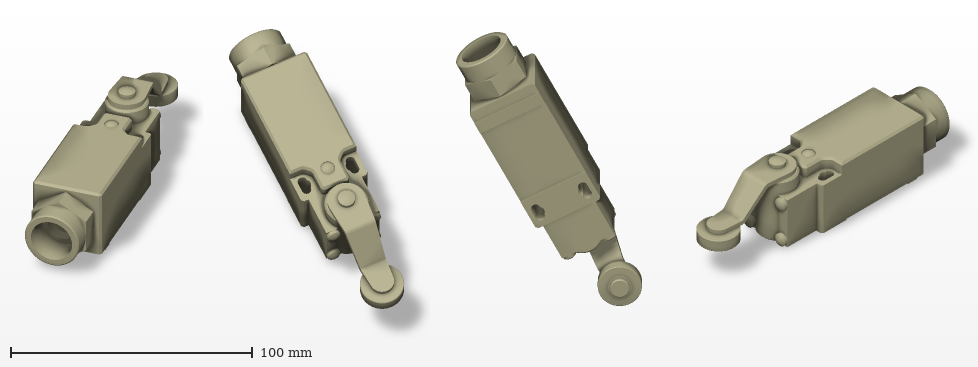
import cadquery as cq
import math


HOUSING_WIDTH = 30.3
HOUSING_LENGTH = 60.2
HOUSING_TOP = 30.0
EDGE_CHAMFER = 1.0
PAD_HEIGHT = 0.5
REAR_PAD_START = 46.0
FRONT_PAD_START = 4.9
FRONT_PAD_LENGTH = 5.3
EAR_TOP = 24.4
EAR_START = 48.5
COVER_TONGUE_WIDTH = 12.6
COVER_TONGUE_END = 61.1
COVER_TONGUE_CORNER = 51.4
FLARE_RADIUS = 2.6

SLOT_X = 11.0
SLOT_WIDTH = 4.0
SLOT_LENGTH = 8.0
ROUND_HOLE_X = 10.6
ROUND_HOLE_DIAMETER = 4.9
MOUNTING_HOLE_Y = 53.7

COVER_RIVET_RADIUS = 3.0
COVER_RIVET_Y = 53.0
COVER_RIVET_RECESS = 0.4
COVER_RIVET_DOME = 1.3

HEAD_WIDTH = 24.4
HEAD_START = 63.7
HEAD_END = 77.4
KEY_START = 61.2
KEY_HEIGHT = 12.0
HEAD_MIDDLE_Z = (PAD_HEIGHT + EAR_TOP) / 2

PIVOT_Y = 71.2
TURRET_RADIUS = 9.1
TURRET_TOP = 31.1
TURRET_CHAMFER = 0.8
SPACER_RADIUS = 7.4

SCREW_RADIUS = 2.9
SCREW_RIM = 1.5
SCREW_DOME = 1.2

LEVER_THICKNESS = 2.0
LEVER_HIGH_BOTTOM = 31.5
LEVER_LOW_BOTTOM = 18.8
LEVER_PIVOT_RADIUS = 8.0
LEVER_TIP_RADIUS = 5.0
LEVER_BEND_Y = 84.4
BEND_INNER_RADIUS = 1.3
PIN_RADIUS = 3.6
PIN_DOME = 0.8
LEVER_TOP = LEVER_HIGH_BOTTOM + LEVER_THICKNESS
PIN_RIM_TOP = 35.4

ROLLER_RADIUS = 9.1
ROLLER_Y = 105.5
ROLLER_BOTTOM = 12.9
ROLLER_TOP = 18.4
ROLLER_CHAMFER = 0.3
WASHER_RADIUS = 4.9
WASHER_THICKNESS = 0.5
RIVET_RADIUS = 4.1
RIVET_BOTTOM = 10.7
RIVET_CHAMFER = 0.4

GLAND_Z = 14.6
NECK_DIAMETER = 23.7
NECK_LENGTH = 0.9
HEX_FLATS = 24.1
HEX_LENGTH = 8.5
TUBE_DIAMETER = 24.0
GLAND_LENGTH = 17.9
TUBE_CHAMFER = 0.5
GLAND_BORE_DIAMETER = 18.2
GLAND_BORE_DEPTH = 13.2
CABLE_HOLE_DIAMETER = 13.2


def block(x_size, y_start, y_end, z_start, z_end):
    """Box centred on X = 0 between the given Y and Z limits."""
    size = (x_size, y_end - y_start, z_end - z_start)
    box = cq.Workplane("XY").box(*size, centered=(True, False, False))
    return box.translate((0, y_start, z_start))


def disc(radius, y, z_start, z_end):
    """Upright cylinder on X = 0."""
    return cq.Workplane("XY", origin=(0, y, z_start)).circle(radius).extrude(z_end - z_start)


def domed_button(radius, rim, dome):
    """Cylinder with a spherical cap, standing on the origin along +Z."""
    sphere_radius = (radius**2 + dome**2) / (2 * dome)
    half_angle = math.asin(radius / sphere_radius) / 2
    mid_point = (sphere_radius * math.sin(half_angle),
                 rim + dome - sphere_radius * (1 - math.cos(half_angle)))
    profile = (
        cq.Workplane("XZ")
        .lineTo(radius, 0)
        .lineTo(radius, rim)
        .threePointArc(mid_point, (0, rim + dome))
        .close()
    )
    return profile.revolve(360, (0, 0, 0), (0, 1, 0))


def head_key():
    """Cross-shaped key that locks the head into the housing neck."""
    side_arms = block(HEAD_WIDTH, KEY_START, HEAD_START,
                      HEAD_MIDDLE_Z - KEY_HEIGHT / 2, HEAD_MIDDLE_Z + KEY_HEIGHT / 2)
    upright = block(COVER_TONGUE_WIDTH, KEY_START, HEAD_START, PAD_HEIGHT, EAR_TOP)
    return side_arms.union(upright)


def mounting_hole(side):
    slot = (
        cq.Workplane("XY").center(side * SLOT_X, MOUNTING_HOLE_Y)
        .slot2D(SLOT_LENGTH, SLOT_WIDTH, 90).extrude(HOUSING_TOP)
    )
    round_hole = (
        cq.Workplane("XY").center(side * ROUND_HOLE_X, MOUNTING_HOLE_Y)
        .circle(ROUND_HOLE_DIAMETER / 2).extrude(HOUSING_TOP)
    )
    return slot.union(round_hole)


def make_housing():
    half_width = HOUSING_WIDTH / 2
    half_tongue = COVER_TONGUE_WIDTH / 2
    flare_x = half_tongue + COVER_TONGUE_CORNER - EAR_START

    lower = block(HOUSING_WIDTH, 0, HOUSING_LENGTH, PAD_HEIGHT, EAR_TOP)
    pads = block(HOUSING_WIDTH, REAR_PAD_START, HOUSING_LENGTH, 0, PAD_HEIGHT)
    lower = lower.union(pads).edges("|Z and (<Y or >Y)").chamfer(EDGE_CHAMFER)
    front_pad_end = FRONT_PAD_START + FRONT_PAD_LENGTH
    front_pad = block(HOUSING_WIDTH, FRONT_PAD_START, front_pad_end, 0, PAD_HEIGHT)
    neck = block(HEAD_WIDTH, HOUSING_LENGTH, HEAD_START, PAD_HEIGHT, EAR_TOP)

    cover = (
        cq.Workplane("XY", origin=(0, 0, EAR_TOP))
        .moveTo(0, 0)
        .lineTo(half_width, 0)
        .lineTo(half_width, EAR_START)
        .lineTo(flare_x, EAR_START)
        .lineTo(half_tongue, COVER_TONGUE_CORNER)
        .lineTo(half_tongue, COVER_TONGUE_END)
        .lineTo(0, COVER_TONGUE_END)
        .mirrorY()
        .extrude(HOUSING_TOP - EAR_TOP)
        .edges("|Z and (<Y or >Y)").chamfer(EDGE_CHAMFER)
    )
    middle_z = (EAR_TOP + HOUSING_TOP) / 2
    for side in (-1, 1):
        for x, y in ((half_tongue, COVER_TONGUE_CORNER), (flare_x, EAR_START)):
            corner = cq.NearestToPointSelector((side * x, y, middle_z))
            cover = cover.edges(corner).fillet(FLARE_RADIUS)
    cover = cover.faces(">Z").chamfer(EDGE_CHAMFER)

    recess_floor = HOUSING_TOP - COVER_RIVET_RECESS
    recess = disc(COVER_RIVET_RADIUS, COVER_RIVET_Y, recess_floor, HOUSING_TOP)
    rivet = domed_button(COVER_RIVET_RADIUS, recess_floor - EAR_TOP, COVER_RIVET_DOME)
    rivet = rivet.translate((0, COVER_RIVET_Y, EAR_TOP))
    body = lower.union(front_pad).union(neck).union(cover.cut(recess)).union(rivet)
    for side in (-1, 1):
        body = body.cut(mounting_hole(side))
    return body.cut(head_key())


def make_head():
    body = block(HEAD_WIDTH, HEAD_START, HEAD_END, PAD_HEIGHT, EAR_TOP).union(head_key())
    turret = disc(TURRET_RADIUS, PIVOT_Y, PAD_HEIGHT, TURRET_TOP)
    turret = turret.faces("<Z or >Z").chamfer(TURRET_CHAMFER)
    spacer = disc(SPACER_RADIUS, PIVOT_Y, TURRET_TOP, LEVER_HIGH_BOTTOM)
    body = body.union(turret).union(spacer)

    screw = domed_button(SCREW_RADIUS, SCREW_RIM, SCREW_DOME).rotate((0, 0, 0), (1, 0, 0), -90)
    screw_x = HEAD_WIDTH / 2 - SCREW_RADIUS
    screw_z = (EAR_TOP - PAD_HEIGHT) / 2 - SCREW_RADIUS
    for side in (-1, 1):
        for level in (-1, 1):
            place = (side * screw_x, HEAD_END, HEAD_MIDDLE_Z + level * screw_z)
            body = body.union(screw.translate(place))
    return body


def lever_plan():
    """Tall prism with the tapered, round-ended outline of the lever."""
    spacing = ROLLER_Y - PIVOT_Y
    lean = (LEVER_PIVOT_RADIUS - LEVER_TIP_RADIUS) / spacing
    across = math.sqrt(1 - lean**2)

    def tangent_point(radius, y):
        return radius * across, y + radius * lean

    pivot_x, pivot_y = tangent_point(LEVER_PIVOT_RADIUS, PIVOT_Y)
    tip_x, tip_y = tangent_point(LEVER_TIP_RADIUS, ROLLER_Y)
    return (
        cq.Workplane("XY")
        .moveTo(pivot_x, pivot_y)
        .lineTo(tip_x, tip_y)
        .threePointArc((0, ROLLER_Y + LEVER_TIP_RADIUS), (-tip_x, tip_y))
        .lineTo(-pivot_x, pivot_y)
        .threePointArc((0, PIVOT_Y - LEVER_PIVOT_RADIUS), (pivot_x, pivot_y))
        .close()
        .extrude(LEVER_TOP)
    )


def make_lever():
    drop = LEVER_HIGH_BOTTOM - LEVER_LOW_BOTTOM
    miter = LEVER_THICKNESS * math.tan(math.radians(22.5))
    start = PIVOT_Y - LEVER_PIVOT_RADIUS
    end = ROLLER_Y + LEVER_TIP_RADIUS
    upper_bend = LEVER_BEND_Y
    lower_bend = LEVER_BEND_Y + drop
    low_top = LEVER_LOW_BOTTOM + LEVER_THICKNESS
    strip = (
        cq.Workplane("YZ")
        .polyline([
            (start, LEVER_TOP),
            (upper_bend, LEVER_TOP),
            (lower_bend, low_top),
            (end, low_top),
            (end, LEVER_LOW_BOTTOM),
            (lower_bend - miter, LEVER_LOW_BOTTOM),
            (upper_bend - miter, LEVER_HIGH_BOTTOM),
            (start, LEVER_HIGH_BOTTOM),
        ])
        .close()
        .extrude(LEVER_PIVOT_RADIUS, both=True)
    )
    outer_radius = BEND_INNER_RADIUS + LEVER_THICKNESS
    bends = (
        (upper_bend, LEVER_TOP, outer_radius),
        (upper_bend - miter, LEVER_HIGH_BOTTOM, BEND_INNER_RADIUS),
        (lower_bend, low_top, BEND_INNER_RADIUS),
        (lower_bend - miter, LEVER_LOW_BOTTOM, outer_radius),
    )
    for y, z, radius in bends:
        strip = strip.edges(cq.NearestToPointSelector((0, y, z))).fillet(radius)
    pin_head = domed_button(PIN_RADIUS, PIN_RIM_TOP - LEVER_TOP, PIN_DOME)
    return strip.intersect(lever_plan()).union(pin_head.translate((0, PIVOT_Y, LEVER_TOP)))


def make_roller():
    wheel = disc(ROLLER_RADIUS, ROLLER_Y, ROLLER_BOTTOM, ROLLER_TOP)
    wheel = wheel.faces("<Z or >Z").chamfer(ROLLER_CHAMFER)
    collar = disc(WASHER_RADIUS, ROLLER_Y, ROLLER_TOP, LEVER_LOW_BOTTOM)
    washer = disc(WASHER_RADIUS, ROLLER_Y, ROLLER_BOTTOM - WASHER_THICKNESS, ROLLER_BOTTOM)
    rivet = disc(RIVET_RADIUS, ROLLER_Y, RIVET_BOTTOM, ROLLER_BOTTOM)
    rivet = rivet.faces("<Z").chamfer(RIVET_CHAMFER)
    return wheel.union(collar).union(washer).union(rivet)


def make_gland():
    base = cq.Workplane("XZ", origin=(0, 0, GLAND_Z))
    hex_corners = HEX_FLATS / math.cos(math.radians(30))
    neck = base.circle(NECK_DIAMETER / 2).extrude(NECK_LENGTH)
    hexagon = (
        base.workplane(offset=NECK_LENGTH).transformed(rotate=(0, 0, 30))
        .polygon(6, hex_corners).extrude(HEX_LENGTH)
    )
    tube_start = NECK_LENGTH + HEX_LENGTH
    tube = base.workplane(offset=tube_start).circle(TUBE_DIAMETER / 2).extrude(GLAND_LENGTH - tube_start)
    tube = tube.faces("<Y").chamfer(TUBE_CHAMFER)
    bore = (
        base.workplane(offset=GLAND_LENGTH - GLAND_BORE_DEPTH)
        .circle(GLAND_BORE_DIAMETER / 2).extrude(GLAND_BORE_DEPTH)
    )
    cable_hole = base.circle(CABLE_HOLE_DIAMETER / 2).extrude(GLAND_LENGTH)
    return neck.union(hexagon).union(tube).cut(bore).cut(cable_hole)


housing = make_housing()
gland = make_gland()
head = make_head()
lever = make_lever()
roller = make_roller()

result = cq.Compound.makeCompound([
    housing.solids().val(),
    gland.solids().val(),
    head.solids().val(),
    lever.solids().val(),
    roller.solids().val(),
])